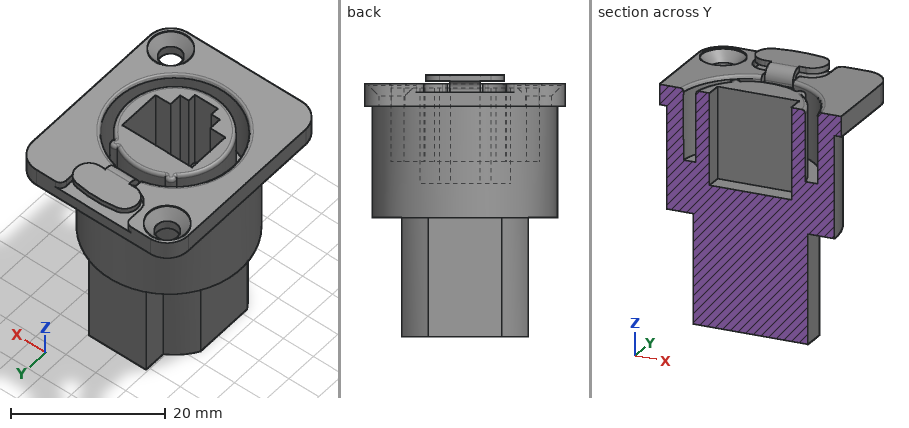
import cadquery as cq
import math

TOTAL_HEIGHT = 33.9
PLATE_TOP = 32.75
PLATE_THICKNESS = 2.9
BARREL_HEIGHT = 14.4
PLATE_BOTTOM = PLATE_TOP - PLATE_THICKNESS
BARREL_BOTTOM = PLATE_BOTTOM - BARREL_HEIGHT

PLATE_WIDTH = 26.0
PLATE_LENGTH = 31.0
PLATE_CORNER_RADIUS = 3.5
BARREL_RADIUS = 12.0

SCREW_X = 9.5
SCREW_Y = 11.95
SCREW_HOLE_RADIUS = 1.7
SINK_RADIUS = 3.05
SINK_LIP = 0.17
SINK_DEPTH = SINK_LIP + SINK_RADIUS - SCREW_HOLE_RADIUS

SOCKET_Y = -1.2
EDGE_ROUND = 0.5
BORE_RADIUS = 9.63
BORE_DEPTH = 10.0
INSERT_RADIUS = 7.93
LUG_RADIUS = 0.75
LUG_X = 4.6
LUG_OFFSET_Y = math.sqrt(INSERT_RADIUS**2 - LUG_X**2)

JACK_DEPTH = 12.88
JACK_TOP_Y = 2.4
JACK_STEPS = [(5.83, -4.37), (3.32, -6.35), (1.9, -7.63)]

REAR_RADIUS = 9.5
REAR_WIDTH = 16.4
BLOCK_HALF_WIDTH = 4.78
BLOCK_END_Y = 10.55

RECESS_DEPTH = 1.1
RECESS_HALF_WIDTH = 5.32
RECESS_LOWER_Y = 10.1
RECESS_CORNER_RADIUS = 2.37
RECESS_MOUTH_RADIUS = 1.0
CHANNEL_HALF_WIDTH = 2.27
CHANNEL_CORNER_RADIUS = 0.27
RECESS_FLOOR = PLATE_TOP - RECESS_DEPTH

TAB_THICKNESS = 0.8
TAB_HALF_LENGTH = 5.1
TAB_END_RADIUS = 2.15
TAB_CROWN = 2.4
TAB_Y = 12.7
STRIP_HALF_WIDTH = 2.0
STRIP_BEND_RADIUS = 1.83
STRIP_Y = 10.37


def cylinder(x, y, radius, bottom, top):
    return cq.Workplane("XY", origin=(x, y, bottom)).circle(radius).extrude(top - bottom)


def housing():
    plate = (
        cq.Workplane("XY", origin=(0, 0, PLATE_BOTTOM))
        .rect(PLATE_WIDTH, PLATE_LENGTH)
        .extrude(PLATE_THICKNESS)
        .edges("|Z")
        .fillet(PLATE_CORNER_RADIUS)
    )
    barrel = cylinder(0, 0, BARREL_RADIUS, BARREL_BOTTOM, PLATE_BOTTOM)
    bore = cylinder(0, SOCKET_Y, BORE_RADIUS, PLATE_TOP - BORE_DEPTH, PLATE_TOP)
    return (
        plate.union(barrel)
        .cut(bore)
        .faces(">Z")
        .edges(cq.selectors.RadiusNthSelector(-1))
        .fillet(EDGE_ROUND)
    )


def screw_hole(x, y):
    cone_bottom = PLATE_TOP - SINK_DEPTH
    return (
        cq.Workplane("XZ", origin=(x, y, 0))
        .moveTo(0, PLATE_BOTTOM)
        .lineTo(SCREW_HOLE_RADIUS, PLATE_BOTTOM)
        .lineTo(SCREW_HOLE_RADIUS, cone_bottom)
        .lineTo(SINK_RADIUS, PLATE_TOP - SINK_LIP)
        .lineTo(SINK_RADIUS, PLATE_TOP)
        .lineTo(0, PLATE_TOP)
        .close()
        .revolve(360, (0, 0, 0), (0, 1, 0))
    )


def insert():
    bottom = PLATE_TOP - BORE_DEPTH
    body = cylinder(0, SOCKET_Y, INSERT_RADIUS, bottom, PLATE_TOP)
    for side in (-1, 1):
        lug = cylinder(side * LUG_X, SOCKET_Y + LUG_OFFSET_Y, LUG_RADIUS, bottom, PLATE_TOP)
        body = body.union(lug)
    return body.faces(">Z").edges().fillet(EDGE_ROUND)


def jack_opening():
    opening = cq.Workplane("XY")
    for half_width, lower_y in JACK_STEPS:
        step = cq.Workplane("XY").box(
            2 * half_width, JACK_TOP_Y - lower_y, JACK_DEPTH, centered=(True, False, False)
        )
        opening = opening.union(step.translate((0, lower_y, PLATE_TOP - JACK_DEPTH)))
    return opening


def rear_body():
    round_body = cylinder(0, SOCKET_Y, REAR_RADIUS, 0, BARREL_BOTTOM)
    flats = cq.Workplane("XY").box(
        REAR_WIDTH, 2 * REAR_RADIUS, BARREL_BOTTOM, centered=(True, True, False)
    ).translate((0, SOCKET_Y, 0))
    block = cq.Workplane("XY").box(
        2 * BLOCK_HALF_WIDTH, BLOCK_END_Y, BARREL_BOTTOM, centered=(True, False, False)
    )
    return round_body.intersect(flats).union(block)


def tab_recess():
    edge_y = PLATE_LENGTH / 2
    pocket = (
        cq.Workplane("XY", origin=(0, 0, RECESS_FLOOR))
        .moveTo(0, SOCKET_Y)
        .lineTo(CHANNEL_HALF_WIDTH, SOCKET_Y)
        .lineTo(CHANNEL_HALF_WIDTH, RECESS_LOWER_Y - CHANNEL_CORNER_RADIUS)
        .radiusArc(
            (CHANNEL_HALF_WIDTH + CHANNEL_CORNER_RADIUS, RECESS_LOWER_Y), CHANNEL_CORNER_RADIUS
        )
        .lineTo(RECESS_HALF_WIDTH - RECESS_CORNER_RADIUS, RECESS_LOWER_Y)
        .radiusArc(
            (RECESS_HALF_WIDTH, RECESS_LOWER_Y + RECESS_CORNER_RADIUS), -RECESS_CORNER_RADIUS
        )
        .lineTo(RECESS_HALF_WIDTH, edge_y - RECESS_MOUTH_RADIUS)
        .radiusArc((RECESS_HALF_WIDTH + RECESS_MOUTH_RADIUS, edge_y), RECESS_MOUTH_RADIUS)
        .lineTo(0, edge_y)
        .close()
        .extrude(RECESS_DEPTH)
    )
    return pocket.union(pocket.mirror("YZ"))


def release_tab():
    end_x = TAB_HALF_LENGTH - TAB_END_RADIUS
    crown_radius = (end_x**2 + TAB_CROWN**2 - TAB_END_RADIUS**2) / (2 * (TAB_CROWN - TAB_END_RADIUS))
    reach = crown_radius / (crown_radius - TAB_END_RADIUS)
    join_x = end_x * reach
    join_y = (crown_radius - TAB_CROWN) * (reach - 1)
    pad = (
        cq.Workplane("XY", origin=(0, TAB_Y, TOTAL_HEIGHT - TAB_THICKNESS))
        .moveTo(-join_x, join_y)
        .threePointArc((0, TAB_CROWN), (join_x, join_y))
        .threePointArc((TAB_HALF_LENGTH, 0), (end_x, -TAB_END_RADIUS))
        .lineTo(-end_x, -TAB_END_RADIUS)
        .threePointArc((-TAB_HALF_LENGTH, 0), (-join_x, join_y))
        .close()
        .extrude(TAB_THICKNESS)
    )
    inner_radius = STRIP_BEND_RADIUS - TAB_THICKNESS
    bend_z = TOTAL_HEIGHT - STRIP_BEND_RADIUS
    strip = (
        cq.Workplane("YZ", origin=(-STRIP_HALF_WIDTH, 0, 0))
        .moveTo(TAB_Y, TOTAL_HEIGHT)
        .lineTo(STRIP_Y, TOTAL_HEIGHT)
        .radiusArc((STRIP_Y - STRIP_BEND_RADIUS, bend_z), -STRIP_BEND_RADIUS)
        .lineTo(STRIP_Y - STRIP_BEND_RADIUS, RECESS_FLOOR)
        .lineTo(STRIP_Y - inner_radius, RECESS_FLOOR)
        .lineTo(STRIP_Y - inner_radius, bend_z)
        .radiusArc((STRIP_Y, TOTAL_HEIGHT - TAB_THICKNESS), inner_radius)
        .lineTo(TAB_Y, TOTAL_HEIGHT - TAB_THICKNESS)
        .close()
        .extrude(2 * STRIP_HALF_WIDTH)
    )
    return pad.union(strip)


result = housing().cut(tab_recess())
for corner in (-1, 1):
    result = result.cut(screw_hole(corner * SCREW_X, -corner * SCREW_Y))
result = result.union(insert()).union(rear_body()).cut(jack_opening()).union(release_tab())